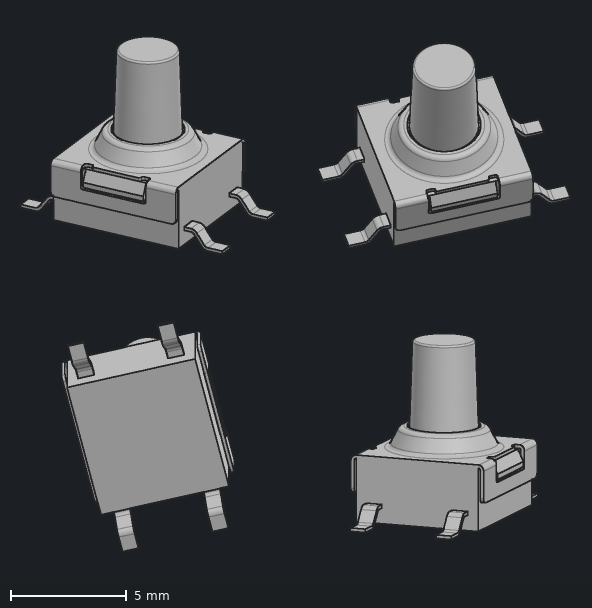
import cadquery as cq
import math

lead_span = 10.0
width = 6.2
total_height = 7.72
sheet = 0.16

body_depth = 5.7
body_bottom = 0.03
cover_top = 2.98
body_top = cover_top - sheet

skirt_height = 1.7
skirt_corner_radius = 0.23
skirt_outer = width / 2
skirt_inner = skirt_outer - sheet
skirt_gap = skirt_inner - body_depth / 2
bend_radius = skirt_gap + sheet

window_width = 3.22
window_height = 1.05
window_corner_radius = 0.13
latch_width = 2.98
latch_ramp_end = 0.7
latch_bottom = 0.94

notch_width = 0.41
notch_depth = 0.21
notch_corner_radius = 0.1
notch_flare = 0.09

collar_height = 0.94
collar_base_radius = 2.4
collar_top_radius = 1.93
collar_fillet = 0.29
bore_radius = 1.59
bore_depth = 0.1
bore_floor = cover_top + collar_height - bore_depth

plunger_base_radius = 1.5
plunger_top_radius = 1.37
plunger_fillet = 0.09

lead_width = 0.72
lead_spacing = 4.0
lead_top = 0.89
foot_length = 0.73
lead_angle = math.radians(53)
lead_bend_radius = 0.3
lead_root = 0.1


def make_body():
    height = cover_top - body_bottom
    return (
        cq.Workplane("XY")
        .workplane(offset=body_bottom)
        .rect(width, body_depth)
        .extrude(height)
    )


def make_skirt():
    """Front skirt: a strip bent down from the cover, with rounded lower corners."""
    bend_start = -body_depth / 2
    bottom = cover_top - skirt_height
    skirt = (
        cq.Workplane("YZ")
        .moveTo(bend_start, cover_top)
        .radiusArc((-skirt_outer, cover_top - bend_radius), -bend_radius)
        .lineTo(-skirt_outer, bottom)
        .lineTo(-skirt_inner, bottom)
        .lineTo(-skirt_inner, body_top - skirt_gap)
        .radiusArc((bend_start, body_top), skirt_gap)
        .close()
        .extrude(width / 2, both=True)
    )
    lower_corners = cq.selectors.BoxSelector(
        (-width, -width, bottom - sheet), (width, 0, bottom + sheet)
    )
    return skirt.edges("|Y").edges(lower_corners).fillet(skirt_corner_radius)


def make_window():
    """Cutter for the front skirt window, from the bend down to its rounded lower corners."""
    return (
        cq.Workplane("XY")
        .box(window_width, bend_radius, window_height, centered=(True, False, False))
        .edges("|Y and <Z")
        .fillet(window_corner_radius)
        .translate((0, -skirt_outer, cover_top - window_height))
    )


def make_notch():
    """Cutter for the right-hand front notch, one sheet thickness deep in the cover."""
    edge = -body_depth / 2
    end = edge + notch_depth
    outer = window_width / 2
    inner = outer - notch_width
    return (
        cq.Workplane("XY")
        .workplane(offset=body_top)
        .moveTo(outer, edge)
        .lineTo(outer, end - notch_corner_radius)
        .radiusArc((outer - notch_corner_radius, end), -notch_corner_radius)
        .lineTo(inner + notch_corner_radius, end)
        .radiusArc((inner, end - notch_corner_radius), -notch_corner_radius)
        .lineTo(inner, edge + notch_flare)
        .radiusArc((inner - notch_flare, edge), notch_flare)
        .close()
        .extrude(sheet)
    )


def make_latch():
    """Front snap latch: a wedge that ramps outward from the top of the housing."""
    wall = -body_depth / 2
    return (
        cq.Workplane("YZ")
        .moveTo(wall, body_top)
        .lineTo(-skirt_outer, cover_top - latch_ramp_end)
        .lineTo(-skirt_outer, cover_top - latch_bottom)
        .lineTo(wall, cover_top - latch_bottom)
        .close()
        .extrude(latch_width / 2, both=True)
    )


def make_collar():
    """Cone blended into the cover at its foot and rounded over at its top, with a shallow bore."""
    slope = math.atan2(collar_height, collar_base_radius - collar_top_radius)
    tangent = collar_fillet * math.tan(slope / 2)
    run = tangent * math.cos(slope)
    rise = tangent * math.sin(slope)
    top = cover_top + collar_height
    return (
        cq.Workplane("XZ")
        .moveTo(0, cover_top)
        .lineTo(collar_base_radius + tangent, cover_top)
        .radiusArc((collar_base_radius - run, cover_top + rise), collar_fillet)
        .lineTo(collar_top_radius + run, top - rise)
        .radiusArc((collar_top_radius - tangent, top), -collar_fillet)
        .lineTo(bore_radius, top)
        .lineTo(bore_radius, bore_floor)
        .lineTo(0, bore_floor)
        .close()
        .revolve(360, (0, 0, 0), (0, 1, 0))
    )


def make_plunger():
    return (
        cq.Workplane("XZ")
        .moveTo(0, bore_floor)
        .lineTo(plunger_base_radius, bore_floor)
        .lineTo(plunger_top_radius, total_height)
        .lineTo(0, total_height)
        .close()
        .revolve(360, (0, 0, 0), (0, 1, 0))
        .faces(">Z")
        .edges()
        .fillet(plunger_fillet)
    )


def make_lead():
    """Right-hand lead at y = 0: flat foot, sloping leg and flat shoulder, joined by round bends."""
    foot_z = sheet / 2
    shoulder_z = lead_top - sheet / 2
    tangent = lead_bend_radius * math.tan(lead_angle / 2)
    run = tangent * math.cos(lead_angle)
    rise = tangent * math.sin(lead_angle)
    toe_x = lead_span / 2
    foot_corner_x = toe_x - foot_length - tangent
    shoulder_corner_x = foot_corner_x - (shoulder_z - foot_z) / math.tan(lead_angle)
    path = (
        cq.Workplane("XZ")
        .moveTo(toe_x, foot_z)
        .lineTo(foot_corner_x + tangent, foot_z)
        .radiusArc((foot_corner_x - run, foot_z + rise), lead_bend_radius)
        .lineTo(shoulder_corner_x + run, shoulder_z - rise)
        .radiusArc((shoulder_corner_x - tangent, shoulder_z), -lead_bend_radius)
        .lineTo(width / 2 - lead_root, shoulder_z)
    )
    return (
        cq.Workplane("YZ", origin=(toe_x, 0, foot_z))
        .rect(lead_width, sheet)
        .sweep(path)
    )


result = make_body()

skirt = make_skirt().cut(make_window())
latch = make_latch()
notch = make_notch()
for part in (skirt, latch):
    result = result.union(part).union(part.mirror("XZ"))
for cutter in (notch, notch.mirror("YZ")):
    result = result.cut(cutter).cut(cutter.mirror("XZ"))

result = result.union(make_collar()).union(make_plunger())

for y in (-lead_spacing / 2, lead_spacing / 2):
    lead = make_lead().translate((0, y, 0))
    result = result.union(lead).union(lead.mirror("YZ"))